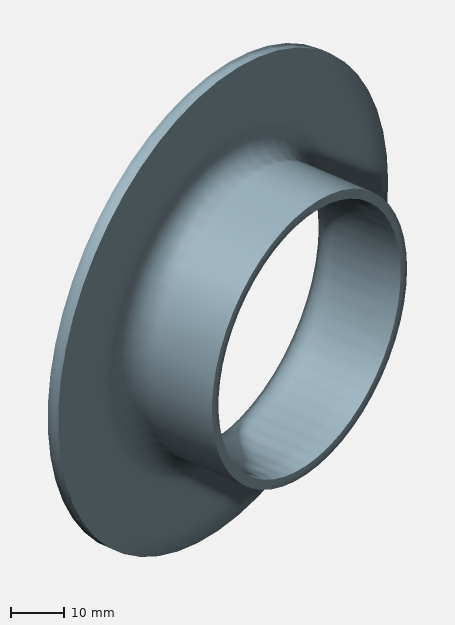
import cadquery as cq

flange_diameter = 102.0
flange_thickness = 2.5
tube_outer_diameter = 60.3
tube_wall = 2.0
total_length = 23.0
outer_fillet_radius = 5.0
inner_fillet_radius = outer_fillet_radius + tube_wall

flange_radius = flange_diameter / 2
tube_outer_radius = tube_outer_diameter / 2
tube_inner_radius = tube_outer_radius - tube_wall


def collar_profile():
    """Half section: X is the axial position, Y the distance from the axis."""
    bore_flare_start = (0, tube_inner_radius + inner_fillet_radius)
    bore_flare_end = (inner_fillet_radius, tube_inner_radius)
    neck_start = (flange_thickness + outer_fillet_radius, tube_outer_radius)
    neck_end = (flange_thickness, tube_outer_radius + outer_fillet_radius)
    return (
        cq.Workplane("XY")
        .moveTo(0, flange_radius)
        .lineTo(*bore_flare_start)
        .radiusArc(bore_flare_end, -inner_fillet_radius)
        .lineTo(total_length, tube_inner_radius)
        .lineTo(total_length, tube_outer_radius)
        .lineTo(*neck_start)
        .radiusArc(neck_end, outer_fillet_radius)
        .lineTo(flange_thickness, flange_radius)
        .close()
    )


result = collar_profile().revolve(360, (0, 0, 0), (1, 0, 0))